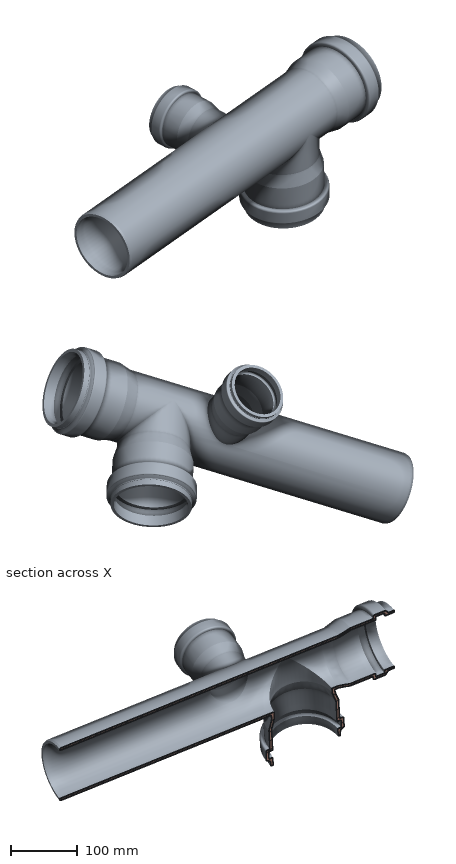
import cadquery as cq
import math

TOTAL_LENGTH = 580.0
MAIN_SOCKET_Y = 160.4
SMALL_BRANCH_Y = -100.0
BRANCH_ANGLE = 87.5
LARGE_BRANCH_LENGTH = 158.6
SMALL_BRANCH_LENGTH = 142.3
SPIGOT_CHAMFER_LENGTH = 3.5
SPIGOT_CHAMFER_DEPTH = 1.2
GROOVE_FRONT_WALL = 3.0

ARC_MIDDLE_INSET = 1 - math.sqrt(0.5)

LARGE = dict(
    pipe_diameter=110.6,
    pipe_bore=99.6,
    socket_diameter=121.85,
    socket_bore=111.05,
    collar_diameter=123.0,
    ring_diameter=135.8,
    groove_diameter=125.0,
    lip_bore=112.2,
    lip_length=8.8,
    collar_end=10.7,
    ring_start=14.0,
    ring_end=36.8,
    socket_end=76.0,
    taper_end=97.2,
    ring_front_rounding=1.6,
    ring_back_rounding=3.0,
)
SMALL = dict(
    pipe_diameter=78.0,
    pipe_bore=68.6,
    socket_diameter=87.5,
    socket_bore=78.1,
    collar_diameter=88.1,
    ring_diameter=97.0,
    groove_diameter=87.6,
    lip_bore=78.1,
    lip_length=5.6,
    collar_end=6.6,
    ring_start=8.0,
    ring_end=26.9,
    socket_end=56.5,
    taper_end=74.3,
    ring_front_rounding=1.2,
    ring_back_rounding=3.0,
)


def revolve_profile(points):
    """Turn (radius, height) points about the Z axis, closing the profile along that axis."""
    profile = [(0, points[0][1])] + points + [(0, points[-1][1])]
    return cq.Workplane("XZ").polyline(profile).close().revolve(360, (0, 0), (0, 1))


def socket_pipe_outside(size, mouth):
    """Solid outer shape along +Z, from the origin to the socket mouth."""
    pipe_radius = size["pipe_diameter"] / 2
    socket_radius = size["socket_diameter"] / 2
    collar_radius = size["collar_diameter"] / 2
    ring_radius = size["ring_diameter"] / 2
    front = size["ring_front_rounding"]
    back = size["ring_back_rounding"]
    front_inset = front * ARC_MIDDLE_INSET
    back_inset = back * ARC_MIDDLE_INSET
    ring_start = mouth - size["ring_start"]
    ring_end = mouth - size["ring_end"]
    outline = (
        cq.Workplane("XZ")
        .lineTo(pipe_radius, 0)
        .lineTo(pipe_radius, mouth - size["taper_end"])
        .lineTo(socket_radius, mouth - size["socket_end"])
        .lineTo(socket_radius, ring_end)
        .lineTo(ring_radius - back, ring_end)
        .threePointArc(
            (ring_radius - back_inset, ring_end + back_inset),
            (ring_radius, ring_end + back),
        )
        .lineTo(ring_radius, ring_start - front)
        .threePointArc(
            (ring_radius - front_inset, ring_start - front_inset),
            (ring_radius - front, ring_start),
        )
        .lineTo(collar_radius, mouth - size["collar_end"])
        .lineTo(collar_radius, mouth - size["lip_length"])
        .lineTo(socket_radius, mouth - size["lip_length"])
        .lineTo(socket_radius, mouth)
        .lineTo(0, mouth)
        .close()
    )
    return outline.revolve(360, (0, 0), (0, 1))


def socket_pipe_bore(size, mouth):
    """Solid to be removed along +Z: pipe bore, taper, socket bore, seal groove and lip bore."""
    ring_wall = (size["ring_diameter"] - size["groove_diameter"]) / 2
    groove_inner_end = mouth - size["ring_end"] + ring_wall
    groove_outer_end = mouth - size["ring_start"] - GROOVE_FRONT_WALL
    return revolve_profile([
        (size["pipe_bore"] / 2, 0),
        (size["pipe_bore"] / 2, mouth - size["taper_end"]),
        (size["socket_bore"] / 2, mouth - size["socket_end"]),
        (size["socket_bore"] / 2, groove_inner_end),
        (size["groove_diameter"] / 2, groove_inner_end),
        (size["groove_diameter"] / 2, groove_outer_end),
        (size["lip_bore"] / 2, groove_outer_end),
        (size["lip_bore"] / 2, mouth),
    ])


def spigot_outside():
    """Plain main pipe from the origin along -Z, chamfered at its far end."""
    radius = LARGE["pipe_diameter"] / 2
    far_end = MAIN_SOCKET_Y - TOTAL_LENGTH
    return revolve_profile([
        (radius, 0),
        (radius, far_end + SPIGOT_CHAMFER_LENGTH),
        (radius - SPIGOT_CHAMFER_DEPTH, far_end),
    ])


def spigot_bore():
    """Bore of the plain main pipe, from the origin along -Z."""
    radius = LARGE["pipe_bore"] / 2
    return revolve_profile([(radius, 0), (radius, MAIN_SOCKET_Y - TOTAL_LENGTH)])


def along_main(body):
    """Lay a body built along Z onto the main axis, +Z becoming +Y."""
    return body.rotate((0, 0, 0), (1, 0, 0), -90)


def along_large_branch(body):
    """Point +Z down, leaning towards the main socket."""
    return body.rotate((0, 0, 0), (1, 0, 0), -90 - BRANCH_ANGLE)


def along_small_branch(body):
    """Point +Z to -X, leaning towards the main socket, and move it along the main pipe."""
    sideways = body.rotate((0, 0, 0), (0, 1, 0), -90)
    leaning = sideways.rotate((0, 0, 0), (0, 0, 1), BRANCH_ANGLE - 90)
    return leaning.translate((0, SMALL_BRANCH_Y, 0))


main_outside = along_main(spigot_outside().union(socket_pipe_outside(LARGE, MAIN_SOCKET_Y)))
main_bore = along_main(spigot_bore().union(socket_pipe_bore(LARGE, MAIN_SOCKET_Y)))

large_branch_outside = along_large_branch(socket_pipe_outside(LARGE, LARGE_BRANCH_LENGTH))
large_branch_bore = along_large_branch(socket_pipe_bore(LARGE, LARGE_BRANCH_LENGTH))

small_branch_outside = along_small_branch(socket_pipe_outside(SMALL, SMALL_BRANCH_LENGTH))
small_branch_bore = along_small_branch(socket_pipe_bore(SMALL, SMALL_BRANCH_LENGTH))

outside = main_outside.union(large_branch_outside).union(small_branch_outside)
result = outside.cut(main_bore).cut(large_branch_bore).cut(small_branch_bore)